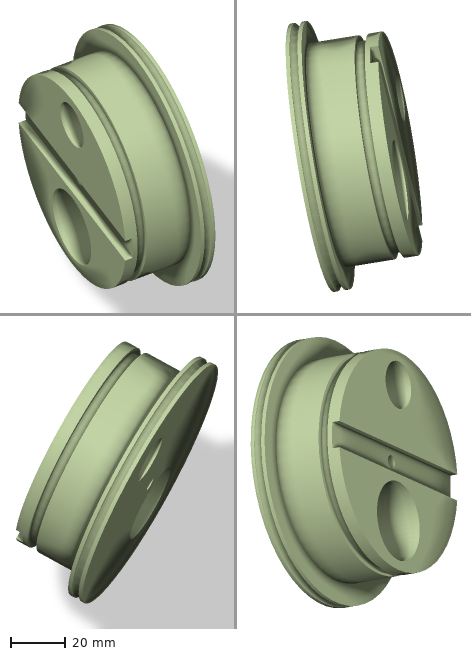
import cadquery as cq

flange_diameter = 100
flange_thickness = 6
rim_groove_radius = 1.5

body_diameter = 83.5
body_length = 27
ring_groove_diameter = 79
ring_groove_width = 3.8
front_land_width = 5

slot_width = 10
slot_depth = 3

through_holes = [(18, 29), (5, 0), (30, -23)]

total_length = flange_thickness + body_length


def cylinder(diameter, front, length, height=0):
    """Cylinder along +Y starting at Y = front, with its axis at Z = height."""
    axis_start = cq.Vector(0, front, height)
    return cq.Workplane(cq.Solid.makeCylinder(diameter / 2, length, axis_start, cq.Vector(0, 1, 0)))


def rim_groove():
    """Ring of circular section centred on the flange rim."""
    return (
        cq.Workplane("XY")
        .center(flange_diameter / 2, body_length + flange_thickness / 2)
        .circle(rim_groove_radius)
        .revolve(360, (-flange_diameter / 2, 0), (-flange_diameter / 2, 1))
    )


def ring_groove():
    outer = cylinder(body_diameter, front_land_width, ring_groove_width)
    core = cylinder(ring_groove_diameter, front_land_width, ring_groove_width)
    return outer.cut(core)


def front_slot():
    return cq.Workplane("XY").box(
        flange_diameter, slot_depth, slot_width, centered=(True, False, True)
    )


body = cylinder(body_diameter, 0, body_length)
flange = cylinder(flange_diameter, body_length, flange_thickness)
result = body.union(flange)
result = result.cut(rim_groove()).cut(ring_groove()).cut(front_slot())

for diameter, height in through_holes:
    result = result.cut(cylinder(diameter, 0, total_length, height))